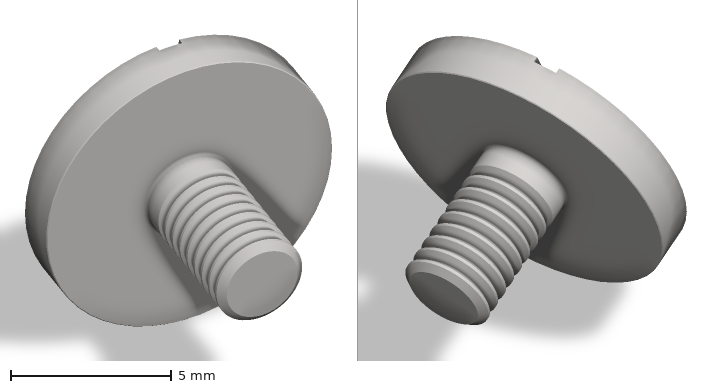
import cadquery as cq

head_diameter = 10.0
rim_thickness = 1.5
dome_height = 0.8
slot_width = 0.8
slot_depth = 1.0
rim_chamfer = 0.03

shank_diameter = 3.0
shank_length = 5.0
thread_pitch = 0.5
thread_count = 8
thread_depth = 0.26
crest_width = 0.1
neck_fillet = 0.1

head_radius = head_diameter / 2
shank_radius = shank_diameter / 2
root_radius = shank_radius - thread_depth
flank_length = (thread_pitch - crest_width) / 2
head_back = dome_height + rim_thickness
shank_end = head_back + shank_length
thread_start = shank_end - thread_count * thread_pitch


def make_head():
    """Revolve the domed head about X, with the dome apex at the origin."""
    dome_radius = (head_radius**2 + dome_height**2) / (2 * dome_height)
    mid_radius = head_radius / 2
    mid_sag = dome_radius - (dome_radius**2 - mid_radius**2) ** 0.5
    profile = (
        cq.Workplane("XY")
        .moveTo(0, 0)
        .threePointArc((mid_sag, mid_radius), (dome_height, head_radius))
        .lineTo(head_back - rim_chamfer, head_radius)
        .lineTo(head_back, head_radius - rim_chamfer)
        .lineTo(head_back, 0)
        .close()
    )
    return profile.revolve(360, (0, 0, 0), (1, 0, 0))


def make_shank():
    """Revolve the neck, its root fillet and the thread ridges about X."""
    fillet_end = head_back + neck_fillet
    fillet_top = shank_radius + neck_fillet
    profile = (
        cq.Workplane("XY")
        .moveTo(dome_height + slot_depth, 0)
        .lineTo(dome_height + slot_depth, fillet_top)
        .lineTo(head_back, fillet_top)
        .radiusArc((fillet_end, shank_radius), -neck_fillet)
        .lineTo(thread_start - flank_length, shank_radius)
        .lineTo(thread_start, root_radius)
    )
    for index in range(thread_count):
        ridge_start = thread_start + index * thread_pitch
        crest_start = ridge_start + flank_length
        profile = (
            profile.lineTo(crest_start, shank_radius)
            .lineTo(crest_start + crest_width, shank_radius)
            .lineTo(ridge_start + thread_pitch, root_radius)
        )
    return profile.lineTo(shank_end, 0).close().revolve(360, (0, 0, 0), (1, 0, 0))


slot = cq.Workplane("XY").box(2 * slot_depth, slot_width, head_diameter)

result = make_head().cut(slot).union(make_shank())